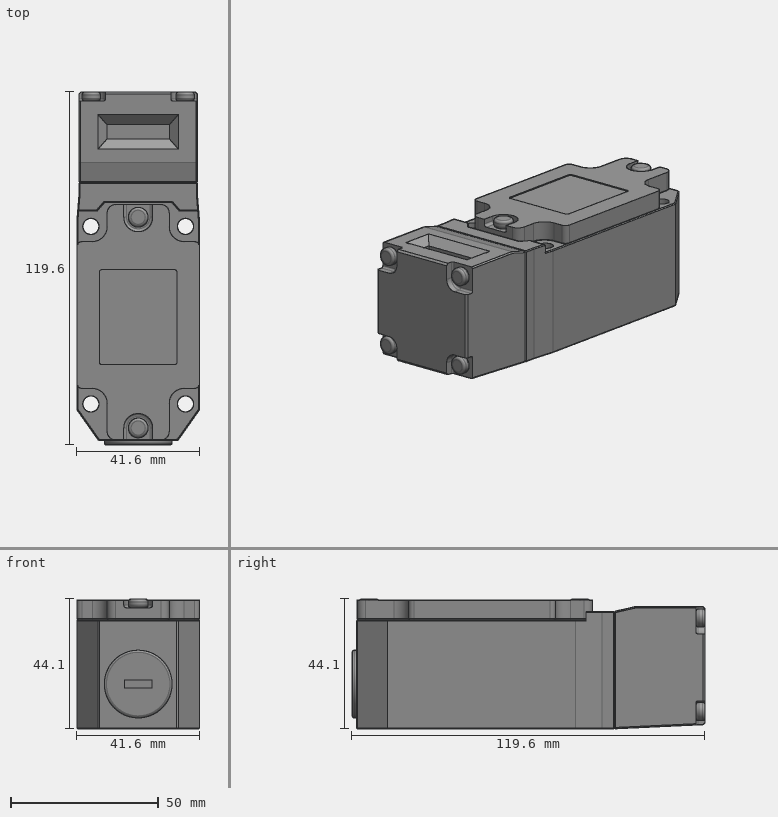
import cadquery as cq


half_width = 20.8
neck_half_width = 20.1
front_half_width = 13.4
front_corner_length = 10.5
taper_start_y = 74.2
taper_end_y = 83.1
joint_y = 87.5
step_y = 77.8
lid_base_z = 37.0
shoulder_z = 39.8
edge_chamfer = 0.4
seam_chamfer = 0.4

end_y = 118.2
head_slope_y = 94.3
head_top_z = 41.4
end_base_z = 1.4
joint_chamfer = 0.4
end_chamfer = 0.7
head_chamfer = 0.5

slot_center_y = 104.7
slot_mouth = (27.3, 11.7)
slot_throat = (21.3, 5.0)
slot_mouth_depth = 2.8
slot_depth = 14.4

lid_top_z = 43.7
lid_start_y = 0.2
lid_end_y = 80.0
tongue_half_width = 10.5
notch_front_y = 17.7
notch_back_y = 67.5
lid_outer_radius = 1.8
lid_inner_radius = 5.0
tongue_radius = 2.9
relief_clearance = 0.7
relief_half_width = 11.4
relief_slant = 2.6
label_size = (26.3, 32.2)
label_center_y = 41.9
label_depth = 0.4
label_corner = 0.8

hole_x = 16.0
hole_front_y = 12.5
hole_spacing = 60.2
hole_diameter = 5.4

lid_screw_radius = 3.3
head_screw_radius = 3.1
screw_proud = 0.4
screw_edge = 1.0
recess_radius = 4.9
recess_depth = 2.6
recess_fillet = 1.0
lid_screw_ys = (4.3, 75.7)
pocket_depth = 3.1
pocket_inner_x = 11.1
pocket_radius = 3.6
pocket_fillet = 0.7
upper_pocket_z = 32.2
lower_pocket_z = 9.5
head_screw_x = 15.9
upper_screw_z = 37.6
lower_screw_z = 5.9

plug_radius = 11.5
plug_thickness = 1.4
plug_center_z = 15.2
plug_fillet = 0.7
plug_slot = (9.3, 2.6)
plug_slot_depth = 3.6


def box(x_range, y_range, z_range):
    size = [high - low for low, high in (x_range, y_range, z_range)]
    corner = (x_range[0], y_range[0], z_range[0])
    return cq.Workplane("XY").box(*size, centered=False).translate(corner)


def make_housing():
    right_side = [
        (front_half_width, 0),
        (half_width, front_corner_length),
        (half_width, taper_start_y),
        (neck_half_width, taper_end_y),
        (neck_half_width, joint_y),
    ]
    left_side = [(-x, y) for x, y in reversed(right_side)]
    plan = cq.Workplane("XY").polyline(right_side + left_side).close().extrude(shoulder_z)
    profile = (
        cq.Workplane("YZ")
        .polyline([
            (0, 0),
            (joint_y, 0),
            (joint_y, shoulder_z),
            (step_y, shoulder_z),
            (step_y, lid_base_z),
            (0, lid_base_z),
        ])
        .close()
        .extrude(half_width, both=True)
    )
    relief = (
        cq.Workplane("XY", origin=(0, 0, lid_base_z))
        .polyline([
            (-relief_half_width - relief_slant, step_y),
            (-relief_half_width, lid_end_y + relief_clearance),
            (relief_half_width, lid_end_y + relief_clearance),
            (relief_half_width + relief_slant, step_y),
        ])
        .close()
        .extrude(shoulder_z - lid_base_z)
    )
    housing = plan.intersect(profile).cut(relief)
    housing = housing.faces("<Y or <Z").edges("not (>Y or >Z)").chamfer(edge_chamfer)
    housing = housing.faces(">Y").edges().chamfer(joint_chamfer)
    housing = housing.faces(">Z").edges("not >Y").chamfer(edge_chamfer)
    lid_rim = cq.selectors.BoxSelector(
        (-half_width, 0, lid_base_z - seam_chamfer),
        (half_width, step_y - edge_chamfer, lid_base_z + seam_chamfer),
    )
    return housing.edges(lid_rim).chamfer(seam_chamfer)


def make_head():
    head = (
        cq.Workplane("YZ")
        .polyline([
            (joint_y, 0),
            (end_y, end_base_z),
            (end_y, head_top_z),
            (head_slope_y, head_top_z),
            (joint_y, shoulder_z),
        ])
        .close()
        .extrude(neck_half_width, both=True)
    )
    head = head.faces("<X or >X").edges("not (<Y or >Y)").chamfer(head_chamfer)
    head = head.faces(">Y").edges().chamfer(end_chamfer)
    return head.faces("<Y").edges().chamfer(joint_chamfer)


def make_key_slot():
    mouth = (
        cq.Workplane("XY", origin=(0, slot_center_y, head_top_z))
        .rect(*slot_mouth)
        .workplane(offset=-slot_mouth_depth)
        .rect(*slot_throat)
        .loft(ruled=True)
    )
    throat = (
        cq.Workplane("XY", origin=(0, slot_center_y, head_top_z))
        .rect(*slot_throat)
        .extrude(-slot_depth)
    )
    return mouth.union(throat)


def make_screw(radius, height):
    """Screw head standing on Z = 0, rounded above and below."""
    screw = cq.Workplane("XY").circle(radius).extrude(height)
    return screw.edges("%CIRCLE").fillet(screw_edge)


def make_lid():
    plan = [
        (tongue_half_width, lid_start_y),
        (tongue_half_width, notch_front_y),
        (half_width, notch_front_y),
        (half_width, notch_back_y),
        (tongue_half_width, notch_back_y),
        (tongue_half_width, lid_end_y),
    ]
    plan += [(-x, y) for x, y in reversed(plan)]
    lid = (
        cq.Workplane("XY", origin=(0, 0, lid_base_z))
        .polyline(plan)
        .close()
        .extrude(lid_top_z - lid_base_z)
    )
    inner_corners = cq.selectors.BoxSelector(
        (-hole_x, notch_front_y - lid_inner_radius, lid_base_z),
        (hole_x, notch_back_y + lid_inner_radius, lid_top_z),
    )
    lid = lid.edges("|Z").edges(inner_corners).fillet(lid_inner_radius)
    lid = lid.edges("|Z and (<X or >X)").fillet(lid_outer_radius)
    lid = lid.edges("|Z and (<Y or >Y)").fillet(tongue_radius)
    lid = lid.faces("<Z").edges().chamfer(edge_chamfer)

    label = (
        cq.Workplane("XY", origin=(0, label_center_y, lid_top_z - label_depth))
        .rect(*label_size)
        .extrude(label_depth)
        .edges("|Z")
        .fillet(label_corner)
    )
    lid = lid.cut(label)

    floor_z = lid_top_z - recess_depth
    lid_screw = make_screw(lid_screw_radius, recess_depth + screw_proud)
    open_ends = (lid_start_y - recess_fillet, lid_end_y + recess_fillet)
    for screw_y, open_y in zip(lid_screw_ys, open_ends):
        seat = cq.Workplane("XY", origin=(0, screw_y, floor_z)).circle(recess_radius).extrude(recess_depth)
        opening = box(
            (-recess_radius, recess_radius), sorted((screw_y, open_y)), (floor_z, lid_top_z)
        )
        recess = seat.union(opening).faces("<Z").edges().fillet(recess_fillet)
        lid = lid.cut(recess).union(lid_screw.translate((0, screw_y, floor_z)))
    return lid


def add_corner_screws(head):
    floor_y = end_y - pocket_depth
    head_screw = make_screw(head_screw_radius, pocket_depth).rotate((0, 0, 0), (1, 0, 0), -90)
    pockets = (
        (upper_pocket_z, head_top_z + pocket_fillet, "<Z", upper_screw_z),
        (end_base_z - pocket_fillet, lower_pocket_z, ">Z", lower_screw_z),
    )
    for low_z, high_z, inner_side, screw_z in pockets:
        pocket = box((pocket_inner_x, half_width), (floor_y, end_y), (low_z, high_z))
        pocket = pocket.edges("|Y and <X and " + inner_side).fillet(pocket_radius)
        pocket = pocket.faces("<Y").edges().fillet(pocket_fillet)
        screw = head_screw.translate((head_screw_x, floor_y, screw_z))
        for side in (pocket, pocket.mirror("YZ")):
            head = head.cut(side)
        for side in (screw, screw.mirror("YZ")):
            head = head.union(side)
    return head


def make_plug():
    return (
        cq.Workplane("XZ", origin=(0, 0, plug_center_z))
        .circle(plug_radius)
        .extrude(plug_thickness)
        .faces("<Y")
        .edges()
        .fillet(plug_fillet)
    )


def make_plug_slot():
    return (
        cq.Workplane("XZ", origin=(0, plug_slot_depth - plug_thickness, plug_center_z))
        .rect(*plug_slot)
        .extrude(plug_slot_depth)
    )


def make_mounting_holes():
    return (
        cq.Workplane("XY")
        .pushPoints([
            (side * hole_x, y)
            for side in (-1, 1)
            for y in (hole_front_y, hole_front_y + hole_spacing)
        ])
        .circle(hole_diameter / 2)
        .extrude(lid_top_z)
    )


head = add_corner_screws(make_head().cut(make_key_slot()))
result = make_housing().union(head).union(make_lid()).union(make_plug())
result = result.cut(make_plug_slot()).cut(make_mounting_holes())